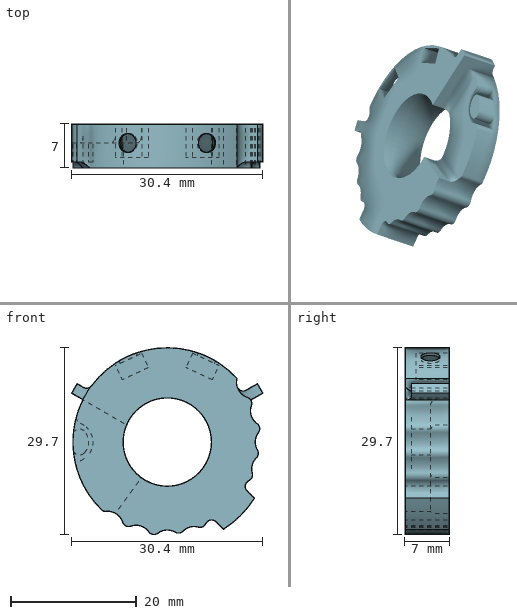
import cadquery as cq
import math

width = 7.0
ring_radius = 15.0
bore_radius = 7.0

notch_radius = 2.5
notch_center_radius = 16.5
notch_angles = [35.0, 17.5, 0.0, -15.0, -30.0]
crest_radius = 1.0
rounding_radius = 0.75

pointer_angle = -45.0
pointer_radius = 16.5
pointer_half_width = 3.5
pointer_root_fillet = 1.0

right_rib_angle = 30.0
left_rib_angle = 150.0
rib_tip_distance = 17.05
rib_inner_distance = 12.0
rib_half_width = 0.875
rib_front = 1.0
left_rib_fillet = 1.0
right_rib_fillet = 0.99
rib_cove_end = 16.8

recess_front = 4.0
recess_lower_angle = 234.0
recess_fillet = 1.0
recess_reach = 20.0

groove_center_angle = 180.0
groove_front = 1.0
groove_outer_radius = 3.2
groove_inner_radius = 2.5
groove_lip_radius = 1.0

screw_angles = [65.0, 115.0]
screw_radius = 1.5
screw_y = 4.0
pocket_half_width = 2.3
pocket_outer_distance = 14.5
pocket_inner_distance = 12.0

overshoot = 1.0


def polar(radius, angle):
    """Point (x, z) at a radius and an angle in degrees."""
    return (radius * math.cos(math.radians(angle)), radius * math.sin(math.radians(angle)))


def along(angle, distance, offset):
    """Point (x, z) at a distance along a radial direction and an offset to its left."""
    x, z = polar(distance, angle)
    dx, dz = polar(offset, angle + 90)
    return (x + dx, z + dz)


def angle_of(point):
    return math.degrees(math.atan2(point[1], point[0]))


def mirrored(point):
    """Mirror image of a point across the pointer's axis."""
    return polar(math.hypot(*point), 2 * pointer_angle - angle_of(point))


def toward(start, end, distance):
    """Point at a distance from start in the direction of end."""
    share = distance / math.dist(start, end)
    return (start[0] + share * (end[0] - start[0]), start[1] + share * (end[1] - start[1]))


def corner_angle(side_a, side_b, opposite):
    """Angle in degrees between two sides of a triangle."""
    return math.degrees(math.acos((side_a**2 + side_b**2 - opposite**2) / (2 * side_a * side_b)))


def arc_middle(center, radius, start, end):
    """Middle of the short arc around a center."""
    chord_middle = toward(start, end, math.dist(start, end) / 2)
    return toward(center, chord_middle, radius)


def extruded(outline, front, back):
    """Solid between Y = front and Y = back from a closed XZ outline."""
    return outline.extrude(front - back).translate((0, front, 0))


def crest_between(angle, next_angle):
    """Center of the crest that touches two neighbouring notches."""
    half_step = math.radians((angle - next_angle) / 2)
    side = notch_center_radius * math.sin(half_step)
    drop = math.sqrt((notch_radius + crest_radius) ** 2 - side**2)
    return polar(notch_center_radius * math.cos(half_step) - drop, (angle + next_angle) / 2)


def wavy_rim(start):
    """Arcs (middle, end) from a start point on the first notch to the side of the pointer."""
    circles = []
    for angle, next_angle in zip(notch_angles, notch_angles[1:]):
        circles.append((polar(notch_center_radius, angle), notch_radius))
        circles.append((crest_between(angle, next_angle), crest_radius))
    last_notch_angle = notch_angles[-1]
    circles.append((polar(notch_center_radius, last_notch_angle), notch_radius))

    notch_swing = math.radians(last_notch_angle - pointer_angle)
    root_offset = pointer_half_width + pointer_root_fillet
    root_rise = root_offset - notch_center_radius * math.sin(notch_swing)
    root_drop = math.sqrt((notch_radius - pointer_root_fillet) ** 2 - root_rise**2)
    root_distance = notch_center_radius * math.cos(notch_swing) - root_drop
    circles.append((along(pointer_angle, root_distance, root_offset), pointer_root_fillet))

    ends = [toward(a[0], b[0], a[1]) for a, b in zip(circles, circles[1:])]
    ends.append(along(pointer_angle, root_distance, pointer_half_width))

    arcs = []
    for (center, radius), end in zip(circles, ends):
        arcs.append((arc_middle(center, radius, start, end), end))
        start = end
    return arcs


def make_ring():
    first_notch = polar(notch_center_radius, notch_angles[0])

    sharp_swing = corner_angle(notch_center_radius, ring_radius, notch_radius)
    sharp_corner = polar(ring_radius, notch_angles[0] + sharp_swing)
    rounding_distance = ring_radius - rounding_radius
    round_swing = corner_angle(notch_center_radius, rounding_distance, notch_radius + rounding_radius)
    rounding_angle = notch_angles[0] + round_swing
    rounding_center = polar(rounding_distance, rounding_angle)
    rounding_rim = polar(ring_radius, rounding_angle)
    rounding_end = toward(rounding_center, first_notch, rounding_radius)
    rounding_middle = arc_middle(rounding_center, rounding_radius, rounding_rim, rounding_end)

    outline = cq.Workplane("XZ").moveTo(*sharp_corner)
    for middle, end in wavy_rim(sharp_corner):
        outline = outline.threePointArc(middle, end)

    tip_distance = math.sqrt(pointer_radius**2 - pointer_half_width**2)
    tip = along(pointer_angle, tip_distance, pointer_half_width)
    outline = outline.lineTo(*tip)
    outline = outline.threePointArc(polar(pointer_radius, pointer_angle), mirrored(tip))

    lower_arcs = wavy_rim(rounding_end)
    arc_starts = [rounding_end] + [end for _, end in lower_arcs]
    outline = outline.lineTo(*mirrored(arc_starts.pop()))
    for (middle, _), start in zip(reversed(lower_arcs), reversed(arc_starts)):
        outline = outline.threePointArc(mirrored(middle), mirrored(start))
    outline = outline.threePointArc(mirrored(rounding_middle), mirrored(rounding_rim))
    outline = outline.threePointArc(polar(ring_radius, pointer_angle + 180), sharp_corner)
    return extruded(outline.close(), 0, width)


def add_right_rib(body):
    """Plain bar whose upper side and front are filleted to the notched rim."""
    corners = [
        along(right_rib_angle, rib_inner_distance, -rib_half_width),
        along(right_rib_angle, rib_tip_distance, -rib_half_width),
        along(right_rib_angle, rib_tip_distance, rib_half_width),
        along(right_rib_angle, rib_inner_distance, rib_half_width),
    ]
    bar = extruded(cq.Workplane("XZ").polyline(corners).close(), rib_front, width)
    body = body.union(bar)

    slab_margin = rib_front / 10
    front_slab = cq.selectors.BoxSelector(
        (-ring_radius, rib_front - slab_margin, -ring_radius),
        (ring_radius, rib_front + slab_margin, ring_radius),
    )
    front_roots = body.edges("%CIRCLE").edges(front_slab)
    root_x, root_z = along(right_rib_angle, notch_center_radius - notch_radius, rib_half_width)
    near_upper_root = cq.NearestToPointSelector((root_x, (rib_front + width) / 2, root_z))
    upper_root = body.edges("|Y").edges(near_upper_root)
    return front_roots.add(upper_root).fillet(right_rib_fillet)


def make_left_rib():
    """Bar with a fillet along its upper side and a hollow front that runs down to the rim."""
    angle = left_rib_angle
    fillet_offset = rib_half_width + left_rib_fillet
    fillet_distance = math.sqrt((ring_radius + left_rib_fillet) ** 2 - fillet_offset**2)
    fillet_center = along(angle, fillet_distance, -fillet_offset)
    fillet_start = along(angle, fillet_distance, -rib_half_width)
    fillet_end = polar(ring_radius, angle_of(fillet_center))
    fillet_middle = arc_middle(fillet_center, left_rib_fillet, fillet_start, fillet_end)
    outline = (
        cq.Workplane("XZ")
        .moveTo(*along(angle, rib_inner_distance, rib_half_width))
        .lineTo(*along(angle, rib_tip_distance, rib_half_width))
        .lineTo(*along(angle, rib_tip_distance, -rib_half_width))
        .lineTo(*fillet_start)
        .threePointArc(fillet_middle, fillet_end)
        .lineTo(*along(angle, rib_inner_distance, -rib_half_width))
        .close()
    )
    bar = extruded(outline, 0, width)

    cove_length = rib_cove_end - ring_radius
    cove_radius = (cove_length**2 + rib_front**2) / (2 * rib_front)
    cove_center = (rib_cove_end, rib_front - cove_radius)
    cove_start = (ring_radius, 0)
    cove_end = (rib_cove_end, rib_front)
    far = rib_tip_distance + overshoot
    cove = (
        cq.Workplane("XY")
        .moveTo(*cove_start)
        .threePointArc(arc_middle(cove_center, cove_radius, cove_start, cove_end), cove_end)
        .lineTo(far, rib_front)
        .lineTo(far, -overshoot)
        .lineTo(ring_radius, -overshoot)
        .close()
        .extrude(2 * fillet_offset, both=True)
        .rotate((0, 0, 0), (0, 1, 0), -angle)
    )
    return bar.cut(cove)


def make_recess():
    """Sector between the lower side of the left rib and a radial wall, with rounded floor edges."""
    apex_radius = rib_half_width / math.sin(math.radians(recess_lower_angle - left_rib_angle))
    corners = [
        polar(apex_radius, recess_lower_angle),
        along(left_rib_angle, recess_reach, rib_half_width),
        polar(recess_reach, (left_rib_angle + recess_lower_angle) / 2),
        polar(recess_reach, recess_lower_angle),
    ]
    sector = extruded(cq.Workplane("XZ").polyline(corners).close(), recess_front, width + overshoot)
    upper_x, upper_z = along(left_rib_angle, recess_reach / 2, rib_half_width)
    lower_x, lower_z = polar(recess_reach / 2, recess_lower_angle)
    upper_edge = cq.NearestToPointSelector((upper_x, recess_front, upper_z))
    lower_edge = cq.NearestToPointSelector((lower_x, recess_front, lower_z))
    return sector.edges(upper_edge + lower_edge).fillet(recess_fillet)


def rounded_eye(eye_radius, lip_center_distance, rim_reach):
    """Disc around the groove's center, blended into the rim by two arcs, up to a closing radius.

    The blend arcs are centered at lip_center_distance from the groove's center.
    """
    eye_center = polar(ring_radius, groove_center_angle)
    swing = corner_angle(ring_radius, ring_radius - groove_lip_radius, lip_center_distance)
    ends = []
    for side in (-1, 1):
        angle = groove_center_angle + side * swing
        lip_center = polar(ring_radius - groove_lip_radius, angle)
        on_rim = polar(ring_radius, angle)
        on_eye = toward(eye_center, lip_center, eye_radius)
        lip_middle = arc_middle(lip_center, groove_lip_radius, on_rim, on_eye)
        ends.append((polar(rim_reach, angle), on_rim, lip_middle, on_eye))
    (start, start_rim, start_middle, start_eye), (end, end_rim, end_middle, end_eye) = ends

    outline = cq.Workplane("XZ").moveTo(*start_rim).threePointArc(start_middle, start_eye)
    outline = outline.threePointArc(polar(ring_radius - eye_radius, groove_center_angle), end_eye)
    outline = outline.threePointArc(end_middle, end_rim)
    if rim_reach > ring_radius:
        outline = outline.lineTo(*end)
    outline = outline.threePointArc(polar(rim_reach, groove_center_angle), start)
    return extruded(outline.close(), groove_front, recess_front)


def make_groove():
    hollow = rounded_eye(
        groove_outer_radius, groove_outer_radius + groove_lip_radius, ring_radius + overshoot
    )
    island = rounded_eye(groove_inner_radius, groove_inner_radius - groove_lip_radius, ring_radius)
    return hollow.cut(island)


def make_screw_seat(angle):
    """Screw hole and the nut pocket below it."""
    x, z = polar(pocket_inner_distance, angle)
    dx, dz = polar(1, angle)
    hole_length = ring_radius + overshoot - pocket_inner_distance
    hole = cq.Workplane(
        cq.Solid.makeCylinder(screw_radius, hole_length, cq.Vector(x, screw_y, z), cq.Vector(dx, 0, dz))
    )
    corners = [
        along(angle, pocket_inner_distance, -pocket_half_width),
        along(angle, pocket_outer_distance, -pocket_half_width),
        along(angle, pocket_outer_distance, pocket_half_width),
        along(angle, pocket_inner_distance, pocket_half_width),
    ]
    pocket_outline = cq.Workplane("XZ").polyline(corners).close()
    return hole.union(extruded(pocket_outline, screw_y - pocket_half_width, width + overshoot))


body = add_right_rib(make_ring())
body = body.union(make_left_rib())
body = body.cut(make_recess())
body = body.cut(make_groove())
for screw_angle in screw_angles:
    body = body.cut(make_screw_seat(screw_angle))
bore = extruded(cq.Workplane("XZ").circle(bore_radius), -overshoot, width + overshoot)
result = body.cut(bore)